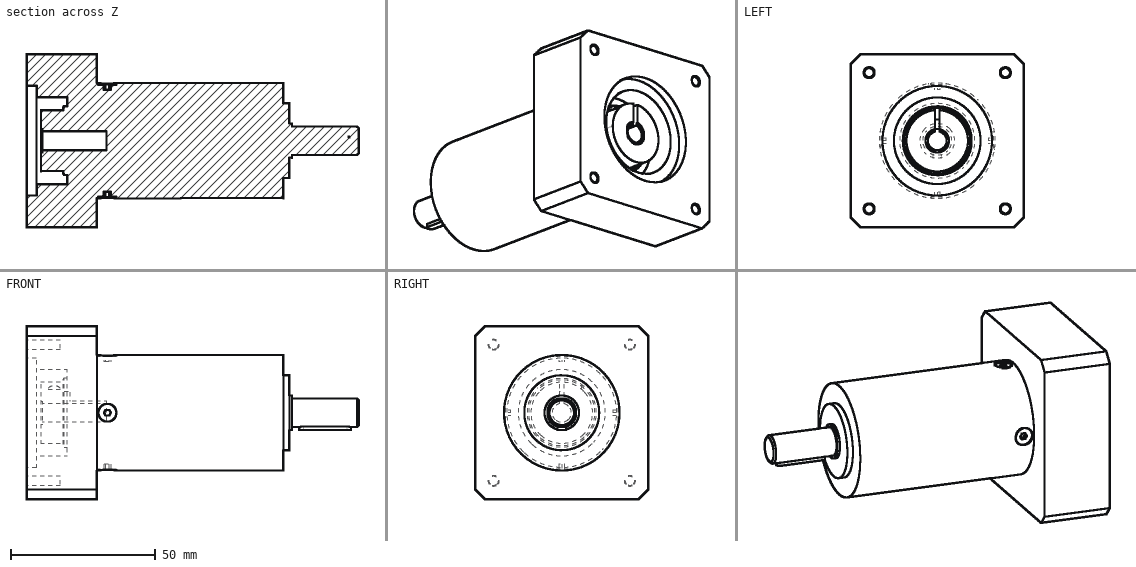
import cadquery as cq
import math

LENGTH = 115.0

FLANGE_SIDE = 60.0
FLANGE_THICKNESS = 24.3
CORNER_CHAMFER = 3.5
SCREW_SPACING = 47.2
SCREW_HOLE_DIA = 3.2
SCREW_MOUTH_DIA = 3.8
SCREW_HOLE_DEPTH = 11.5

BODY_DIA = 40.0
BODY_END = 88.9
PILOT_DIA = 26.0
PILOT_LENGTH = 2.1
COLLAR_DIA = 12.0
COLLAR_LENGTH = 0.9
SHAFT_DIA = 10.0
SHAFT_CHAMFER = 0.7

KEY_START = 94.3
KEY_LENGTH = 18.0
KEY_WIDTH = 3.0
KEY_REACH = 6.0

SEAT_DIA = 38.0
SEAT_DEPTH = 3.5
BORE_DIA = 30.0
BORE_DEPTH = 14.0

HUB_DIA = 21.3
HUB_FACE = 5.0
BASE_DIA = 23.9
BASE_FACE = 12.6
BASE_CHAMFER_RADIAL = 0.52
BASE_CHAMFER_AXIAL = 0.2
SOCKET_DIA = 6.5
SOCKET_END = 27.6
SOCKET_MOUTH_DIA = 8.0
SOCKET_MOUTH_DEPTH = 0.5

SLOT_WIDTH = 1.7
SLEEVE_RADIUS = 7.4
SLEEVE_SLOT_FLOOR = 15.0

HEAD_DIA = 5.5
HEAD_TOP = 9.4
HEAD_END = 6.9
HEAD_LENGTH = 4.0
HEAD_DEPTH = 9.5

PLUG_X = 28.0
PLUG_DIA = 6.2
PLUG_RECESS = 0.6
HEX_ACROSS_FLATS = 2.1
HEX_DEPTH = 1.7


def rod(diameter, start, end):
    """Cylinder on the X axis between two X positions."""
    return cq.Workplane("YZ", origin=(start, 0, 0)).circle(diameter / 2).extrude(end - start)


def flange():
    block = cq.Workplane("YZ").rect(FLANGE_SIDE, FLANGE_SIDE).extrude(FLANGE_THICKNESS)
    return block.edges("|X").chamfer(CORNER_CHAMFER)


def screw_holes():
    """Four blind holes with 45 degree mouths."""
    mouth_depth = (SCREW_MOUTH_DIA - SCREW_HOLE_DIA) / 2
    mouth_radius = SCREW_MOUTH_DIA / 2
    hole_radius = SCREW_HOLE_DIA / 2
    profile = [
        (0, 0),
        (0, mouth_radius),
        (mouth_depth, hole_radius),
        (SCREW_HOLE_DEPTH, hole_radius),
        (SCREW_HOLE_DEPTH, 0),
    ]
    hole = cq.Workplane("XY").polyline(profile).close().revolve(360, (0, 0, 0), (1, 0, 0))
    half = SCREW_SPACING / 2
    holes = cq.Workplane()
    for y in (-half, half):
        for z in (-half, half):
            holes = holes.add(hole.translate((0, y, z)))
    return holes.combine()


def output_side():
    pilot_end = BODY_END + PILOT_LENGTH
    collar_end = pilot_end + COLLAR_LENGTH
    shaft = rod(SHAFT_DIA, collar_end, LENGTH).faces(">X").chamfer(SHAFT_CHAMFER)
    body = rod(BODY_DIA, FLANGE_THICKNESS, BODY_END)
    pilot = rod(PILOT_DIA, BODY_END, pilot_end)
    collar = rod(COLLAR_DIA, pilot_end, collar_end)
    return body.union(pilot).union(collar).union(shaft)


def key():
    middle = KEY_START + KEY_LENGTH / 2
    return (
        cq.Workplane("XY", origin=(middle, 0, -KEY_REACH))
        .slot2D(KEY_LENGTH, KEY_WIDTH)
        .extrude(KEY_REACH)
    )


def motor_recess():
    return rod(SEAT_DIA, 0, SEAT_DEPTH).union(rod(BORE_DIA, 0, BORE_DEPTH))


def clamp_slot():
    """Slot above the axis: full depth at the socket, shallower in the sleeve and the outer ring."""
    steps = [
        (SOCKET_MOUTH_DIA / 2, SOCKET_END),
        (SLEEVE_RADIUS, SLEEVE_SLOT_FLOOR),
        (HUB_DIA / 2, BASE_FACE),
    ]
    cuts = cq.Workplane()
    for height, floor in steps:
        start = cq.Workplane("XY", origin=(HUB_FACE, 0, 0))
        strip = start.rect(floor - HUB_FACE, SLOT_WIDTH, centered=(False, True))
        cuts = cuts.add(strip.extrude(height))
    return cuts.combine()


def clamp_hub():
    base = rod(BASE_DIA, BASE_FACE, BORE_DEPTH)
    base = base.faces("<X").chamfer(BASE_CHAMFER_AXIAL, BASE_CHAMFER_RADIAL)
    head = (
        cq.Workplane("XZ", origin=(HEAD_DEPTH, HEAD_END, HEAD_TOP - HEAD_DIA / 2))
        .circle(HEAD_DIA / 2)
        .extrude(HEAD_LENGTH)
    )
    return rod(HUB_DIA, HUB_FACE, BORE_DEPTH).union(base).union(head)


def shaft_socket():
    mouth = rod(SOCKET_MOUTH_DIA, HUB_FACE, HUB_FACE + SOCKET_MOUTH_DEPTH)
    return rod(SOCKET_DIA, HUB_FACE, SOCKET_END).union(mouth)


def plug_recess():
    """Flat recess with a hexagon socket, at the top of the body; two hexagon corners point along X."""
    floor = cq.Workplane("XY", origin=(PLUG_X, 0, BODY_DIA / 2 - PLUG_RECESS))
    hex_across_corners = HEX_ACROSS_FLATS / math.cos(math.pi / 6)
    recess = floor.circle(PLUG_DIA / 2).extrude(2 * PLUG_RECESS)
    socket = floor.polygon(6, hex_across_corners).extrude(-HEX_DEPTH)
    return recess.union(socket)


result = flange().union(output_side()).union(key())
result = result.cut(screw_holes()).cut(motor_recess())
result = result.union(clamp_hub()).cut(shaft_socket()).cut(clamp_slot())
for quarter in range(4):
    result = result.cut(plug_recess().rotate((0, 0, 0), (1, 0, 0), 90 * quarter))